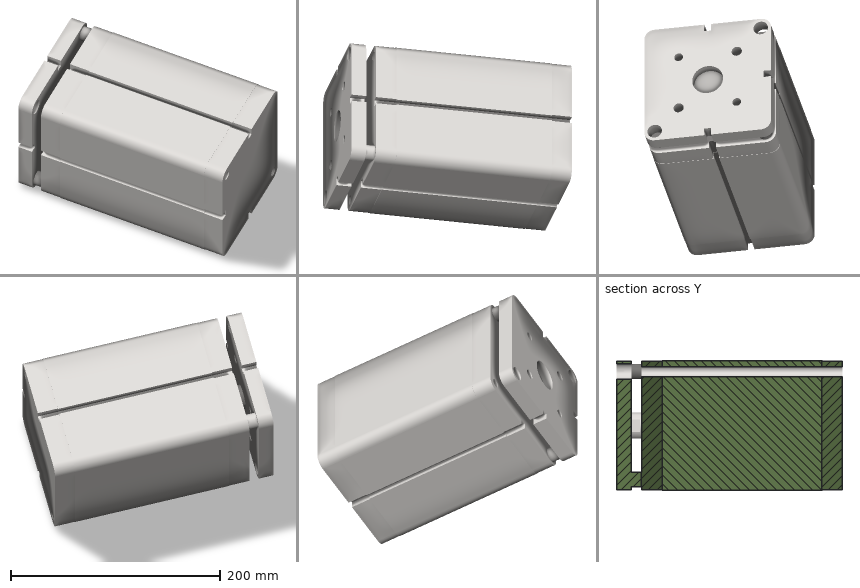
import cadquery as cq

LENGTH = 216.0
TUBE_SIDE = 124.0
END_SIDE = 123.5
CORNER_RADIUS = 10.0

PLATE_THICKNESS = 14.5
ROD_STICKOUT = 9.5
BEARING_COVER_LENGTH = 20.0
END_COVER_LENGTH = 19.7
BEARING_COVER_START = PLATE_THICKNESS + ROD_STICKOUT
TUBE_START = BEARING_COVER_START + BEARING_COVER_LENGTH
END_COVER_START = LENGTH - END_COVER_LENGTH
TUBE_LENGTH = END_COVER_START - TUBE_START

SLOT_ANGLES = (0, 90, 180)
SLOT_LIP = 3.2
END_MOUTH_WIDTH = 6.5
END_SLOT_WIDTH = 7.0
END_SLOT_DEPTH = 7.3
TUBE_MOUTH_WIDTH = 5.2
TUBE_SLOT_WIDTH = 6.5
TUBE_SLOT_DEPTH = 7.0

CORNER_OFFSET = 51.6
BOLT_POINTS = [(-CORNER_OFFSET, CORNER_OFFSET), (CORNER_OFFSET, -CORNER_OFFSET)]
GUIDE_POINTS = [(CORNER_OFFSET, CORNER_OFFSET), (-CORNER_OFFSET, -CORNER_OFFSET)]
BOLT_DIAMETER = 9.0
ACCESS_DIAMETER = 14.0
GUIDE_DIAMETER = 14.0

MOUNT_OFFSET = 28.3
THREAD_POINTS = [(MOUNT_OFFSET, MOUNT_OFFSET), (-MOUNT_OFFSET, -MOUNT_OFFSET)]
DOWEL_POINTS = [(-MOUNT_OFFSET, MOUNT_OFFSET), (MOUNT_OFFSET, -MOUNT_OFFSET)]
THREAD_DIAMETER = 8.5
DOWEL_DIAMETER = 10.0
CENTER = [(0, 0)]
RECESS_DIAMETER = 30.0
RECESS_DEPTH = 9.3

ROD_DIAMETER = 25.0
ACROSS_FLATS = 22.0
FLAT_LENGTH = 8.0


def cross_section(x):
    """Workplane across X at station x, with local axes along Y and Z."""
    return cq.Workplane("YZ", origin=(x, 0, 0))


def cylinders(x, length, diameter, points):
    """Cylinders along X that start at station x, one at each (y, z) point."""
    return cross_section(x).pushPoints(points).circle(diameter / 2).extrude(length)


def slot_cutter(x, length, side, mouth_width, slot_width, depth):
    """T-shaped bar that cuts a slot into the +Z side of a block."""
    top = side / 2
    lip_bottom = top - SLOT_LIP
    mouth = cross_section(x).center(0, top - depth / 2).rect(mouth_width, depth)
    pocket_height = depth - SLOT_LIP
    pocket = cross_section(x).center(0, lip_bottom - pocket_height / 2).rect(slot_width, pocket_height)
    return mouth.extrude(length).union(pocket.extrude(length))


def slotted_block(x, length, side, mouth_width, slot_width, depth):
    """Square block with rounded corners and a T-slot in three of its sides."""
    block = cross_section(x).rect(side, side).extrude(length)
    block = block.edges("|X").fillet(CORNER_RADIUS)
    cutter = slot_cutter(x, length, side, mouth_width, slot_width, depth)
    for angle in SLOT_ANGLES:
        block = block.cut(cutter.rotate((0, 0, 0), (1, 0, 0), angle))
    return block


def end_block(x, length):
    """Slotted block with the outline shared by the yoke plate and both covers."""
    return slotted_block(x, length, END_SIDE, END_MOUTH_WIDTH, END_SLOT_WIDTH, END_SLOT_DEPTH)


def make_yoke():
    """Yoke plate with its mounting holes, and the two guide rods on its back face."""
    yoke = end_block(0, PLATE_THICKNESS)
    yoke = yoke.cut(cylinders(0, PLATE_THICKNESS, ACCESS_DIAMETER, BOLT_POINTS))
    yoke = yoke.cut(cylinders(0, PLATE_THICKNESS, THREAD_DIAMETER, THREAD_POINTS))
    yoke = yoke.cut(cylinders(0, PLATE_THICKNESS, DOWEL_DIAMETER, DOWEL_POINTS))
    yoke = yoke.cut(cylinders(0, RECESS_DEPTH, RECESS_DIAMETER, CENTER))
    return yoke.union(cylinders(PLATE_THICKNESS, ROD_STICKOUT, GUIDE_DIAMETER, GUIDE_POINTS))


def make_piston_rod():
    """Round rod between plate and bearing cover, with flats next to the plate."""
    rod = cylinders(PLATE_THICKNESS, ROD_STICKOUT, ROD_DIAMETER, CENTER)
    outer_side = 2 * ROD_DIAMETER
    around_flats = cross_section(PLATE_THICKNESS).rect(outer_side, outer_side)
    around_flats = around_flats.rect(ACROSS_FLATS, outer_side).extrude(FLAT_LENGTH)
    return rod.cut(around_flats)


def make_cover(x, length):
    """Housing cover with the through bores for the mounting bolts."""
    return end_block(x, length).cut(cylinders(x, length, BOLT_DIAMETER, BOLT_POINTS))


def make_tube():
    """Housing tube, with narrower slots than the covers."""
    tube = slotted_block(
        TUBE_START, TUBE_LENGTH, TUBE_SIDE, TUBE_MOUTH_WIDTH, TUBE_SLOT_WIDTH, TUBE_SLOT_DEPTH
    )
    return tube.cut(cylinders(TUBE_START, TUBE_LENGTH, BOLT_DIAMETER, BOLT_POINTS))


yoke = make_yoke()
piston_rod = make_piston_rod()
bearing_cover = make_cover(BEARING_COVER_START, BEARING_COVER_LENGTH)
tube = make_tube()
end_cover = make_cover(END_COVER_START, END_COVER_LENGTH)

result = cq.Compound.makeCompound(
    [yoke.val(), piston_rod.val(), bearing_cover.val(), tube.val(), end_cover.val()]
)